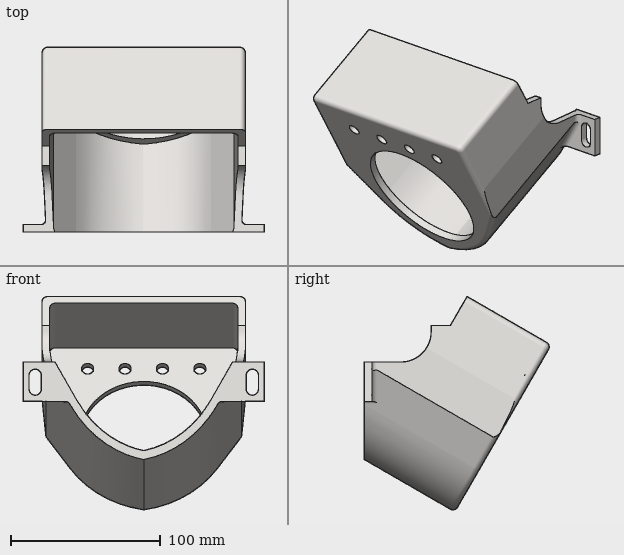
import cadquery as cq
import math

tilt = 30.0
wall = 5.2
half_width = 68.0
profile_top = 158.0
upper_bend = 114.6
lower_bend = 85.3
lower_bend_x = 65.2
belly_x = 49.3
belly_height = 61.2
keel_height = 29.3
keel_flat_rise = 0.2
corner_radius = 4.0
back_radius = 3.5
back_depth = -53.0
front_depth = 11.9

shelf_height = 123.3
cheek_front = 44.6
cutaway_floor = 99.0
cutaway_radius = 20.0

port_radius = 42.5
port_height = 84.4
vent_diameter = 8.0
vent_spacing = 25.0
vent_height = 136.7
vent_count = 4

tab_span = 161.0
tab_bottom = 72.6
tab_thickness = 5.2
slot_x = 72.5
slot_height = 85.5
slot_length = 17.2
slot_width = 8.0
root_radius = 3.0

reach = 322.0
run_out = reach / 2
touch = 0.02


def leaning_plane(depth):
    """Plane across the tunnel: local y runs up the back plate, normal runs to the front."""
    c = math.cos(math.radians(tilt))
    s = math.sin(math.radians(tilt))
    return cq.Plane(origin=(0, -depth * c, depth * s), xDir=(1, 0, 0), normal=(0, -c, s))


def belly_midpoint():
    """Middle of the arc that is tangent to the flank and ends on the keel."""
    run = lower_bend_x - belly_x
    rise = lower_bend - belly_height
    length = math.hypot(run, rise)
    nx = -rise / length
    ny = run / length
    drop = belly_height - keel_height
    radius = -(belly_x**2 + drop**2) / (2 * (belly_x * nx + drop * ny))
    cx = belly_x + radius * nx
    cy = belly_height + radius * ny
    mx = belly_x / 2 - cx
    my = (belly_height + keel_height) / 2 - cy
    scale = radius / math.hypot(mx, my)
    return cx + mx * scale, cy + my * scale


def side_points(flared):
    """Straight right-hand side of the profile, from the roof down to the belly arc."""
    if flared:
        bends = [(half_width, upper_bend), (lower_bend_x, lower_bend)]
    else:
        slope = (lower_bend - belly_height) / (lower_bend_x - belly_x)
        bends = [(half_width, belly_height + slope * (half_width - belly_x))]
    return [(half_width, profile_top)] + bends + [(belly_x, belly_height)]


def outline(depth, flared):
    """Cross-section of the tunnel; flared adds the slight inward bend of the cheeks."""
    right = side_points(flared)
    left = [(-x, y) for x, y in reversed(right)]
    mid_x, mid_y = belly_midpoint()
    return (
        cq.Workplane(leaning_plane(depth))
        .polyline(right)
        .threePointArc((mid_x, mid_y), (0, keel_height))
        .threePointArc((-mid_x, mid_y), left[0])
        .polyline(left[1:], includeCurrent=True)
        .close()
    )


def round_roof_edges(body, roof_height):
    """Round the two long edges where the roof meets the cheeks."""
    plane = leaning_plane(0)
    edges = [
        edge
        for edge in body.edges(cq.selectors.ParallelDirSelector(plane.zDir)).vals()
        if plane.toLocalCoords(edge.Center()).y > roof_height - corner_radius
    ]
    return body.newObject(edges).fillet(corner_radius)


def outer_tunnel():
    """Solid housing; the cheek bends slice off part of the rounded back rim."""
    body = round_roof_edges(outline(back_depth, False).extrude(run_out), profile_top)
    back = cq.selectors.DirectionMinMaxSelector(leaning_plane(0).zDir, False)
    body = body.faces(back).edges().fillet(back_radius)
    return body.intersect(outline(back_depth, True).extrude(run_out))


def inner_tunnel():
    """Hollow of the housing, with a narrow flat along the keel."""
    depth = back_depth + wall
    body = outline(depth, True).offset2D(-wall, "intersection").extrude(run_out)
    body = round_roof_edges(body, profile_top - wall)
    above_keel = (
        cq.Workplane(leaning_plane(depth))
        .center(0, keel_height + wall + keel_flat_rise + reach / 2)
        .rect(reach, reach)
        .extrude(run_out)
    )
    return body.intersect(above_keel)


def cheek_cutaway():
    """Rounded notch in the front of both cheeks."""
    return (
        cq.Workplane("YZ")
        .center(cheek_front - reach / 2, cutaway_floor + reach / 2)
        .rect(reach, reach)
        .extrude(reach / 2, both=True)
        .edges("|X and >Y and <Z")
        .fillet(cutaway_radius)
    )


def roof_trim():
    """Space in front of the roof edge, above the cheek shelf."""
    ahead = cq.Workplane(leaning_plane(front_depth)).rect(reach, reach).extrude(reach)
    above = cq.Workplane("XY", origin=(0, 0, shelf_height)).rect(reach, reach).extrude(reach)
    return ahead.intersect(above)


def add_tabs(body):
    """Mounting strip flush with the wall plane, blended into the housing behind and below."""
    height = cutaway_floor - tab_bottom
    strip = (
        cq.Workplane("XZ", origin=(0, 0, tab_bottom + height / 2))
        .rect(tab_span, height)
        .extrude(-tab_thickness)
    )
    joined = body.union(strip)
    roots = []
    for edge in joined.edges().vals():
        box = edge.BoundingBox()
        inner_x, outer_x = sorted((abs(box.xmin), abs(box.xmax)))
        on_housing = inner_x > belly_x - wall and outer_x < half_width
        behind = box.ylen < touch and abs(box.ymin - tab_thickness) < touch
        below = box.zlen < touch and abs(box.zmin - tab_bottom) < touch
        if on_housing and (behind or below):
            roots.append(edge)
    return joined.newObject(roots).fillet(root_radius)


def vents():
    """Row of small holes through the back plate above the port."""
    return (
        cq.Workplane(leaning_plane(back_depth))
        .center(0, vent_height)
        .rarray(vent_spacing, 1.6, vent_count, 1)
        .circle(vent_diameter / 2)
        .extrude(wall)
    )


def port():
    """Large round opening through the back plate."""
    plane = leaning_plane(back_depth)
    return cq.Workplane(plane).center(0, port_height).circle(port_radius).extrude(wall)


def slots():
    """Upright screw slots, one in each tab."""
    return (
        cq.Workplane("XZ", origin=(0, 0, slot_height))
        .pushPoints([(-slot_x, 0), (slot_x, 0)])
        .slot2D(slot_length, slot_width, 90)
        .extrude(-tab_thickness)
    )


ahead_of_wall = cq.Workplane("XZ").rect(reach, 2 * reach).extrude(reach)

housing = outer_tunnel().cut(ahead_of_wall).cut(roof_trim()).cut(cheek_cutaway())
housing = add_tabs(housing)
result = housing.cut(inner_tunnel()).cut(port()).cut(vents()).cut(slots())